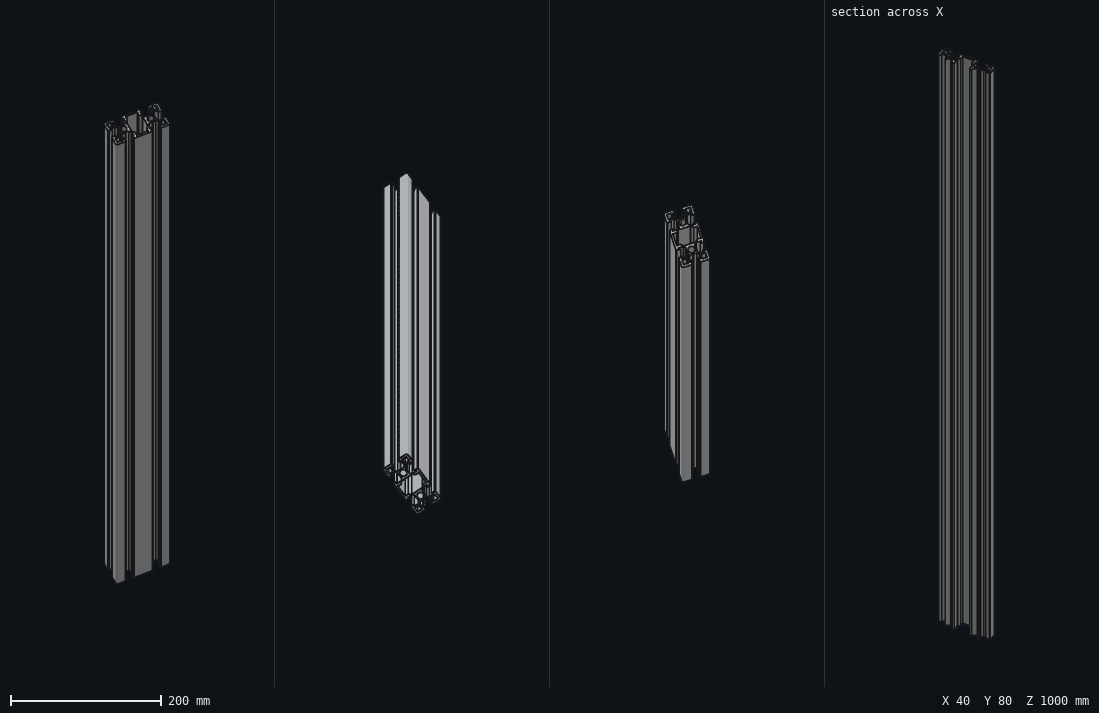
import cadquery as cq

module = 40.0
width = module
depth = 2 * module
length = 1000.0
corner_radius = 3.0
module_centre = module / 2

core_half = 6.3
bore_radius = 4.7

recess_half = 6.2
recess_depth = 1.2
mouth_half = 5.1
lip_tip_depth = 6.3
lip_root_depth = 4.0
cavity_half = 7.6
floor_half = 4.9
slot_depth = module / 2 - core_half
shoulder_depth = slot_depth + floor_half - cavity_half
groove_half = 0.6
groove_depth = 0.5

side_wall = 3.0
chamber_side_half = 8.4
chamber_rise = 3.3
chamber_flat_half = 8.6

hollow_size = 6.6
hollow_inset = 6.8


def mirrored(half):
    """Complete a half outline with its reflection across the Y axis; points on the axis stay single."""
    return half + [(-x, y) for x, y in reversed(half) if x > 0]


def prism(outline):
    """Extrude a closed polygon over the full length."""
    return cq.Workplane("XY").polyline(outline).close().extrude(length)


def slot_cutter():
    """T-slot with hooked lips, entering at y = 0 and running toward -Y."""
    half = [
        (recess_half, 0),
        (recess_half, -recess_depth),
        (mouth_half, -recess_depth),
        (mouth_half, -lip_tip_depth),
        (cavity_half, -lip_root_depth),
        (cavity_half, -shoulder_depth),
        (floor_half, -slot_depth),
        (groove_half, -slot_depth),
        (0, -slot_depth - groove_depth),
    ]
    return prism(mirrored(half))


def placed_slot(x, y, angle):
    """Turn a slot about Z and move its mouth to (x, y)."""
    return slot_cutter().rotate((0, 0, 0), (0, 0, 1), angle).translate((x, y, 0))


def chamber_cutter():
    """Wide chamber whose middle rises toward both cores through 45 degree flanks."""
    outer_half = width / 2 - side_wall
    flank_half = chamber_flat_half + chamber_rise
    peak = chamber_side_half + chamber_rise
    right = [
        (chamber_flat_half, peak),
        (flank_half, chamber_side_half),
        (outer_half, chamber_side_half),
        (outer_half, -chamber_side_half),
        (flank_half, -chamber_side_half),
        (chamber_flat_half, -peak),
    ]
    return prism(mirrored(right))


def bore_cutter():
    centres = [(0, module_centre), (0, -module_centre)]
    return cq.Workplane("XY").pushPoints(centres).circle(bore_radius).extrude(length)


def corner_hollow_cutter():
    x = width / 2 - hollow_inset
    y = depth / 2 - hollow_inset
    centres = [(x, y), (-x, y), (-x, -y), (x, -y)]
    return cq.Workplane("XY").pushPoints(centres).rect(hollow_size, hollow_size).extrude(length)


result = cq.Workplane("XY").rect(width, depth).extrude(length).edges("|Z").fillet(corner_radius)

for side, end_angle in ((1, 0), (-1, 180)):
    result = result.cut(placed_slot(0, side * depth / 2, end_angle))
    for slot_y in (module_centre, -module_centre):
        result = result.cut(placed_slot(side * width / 2, slot_y, -90 * side))

result = result.cut(chamber_cutter()).cut(bore_cutter()).cut(corner_hollow_cutter())